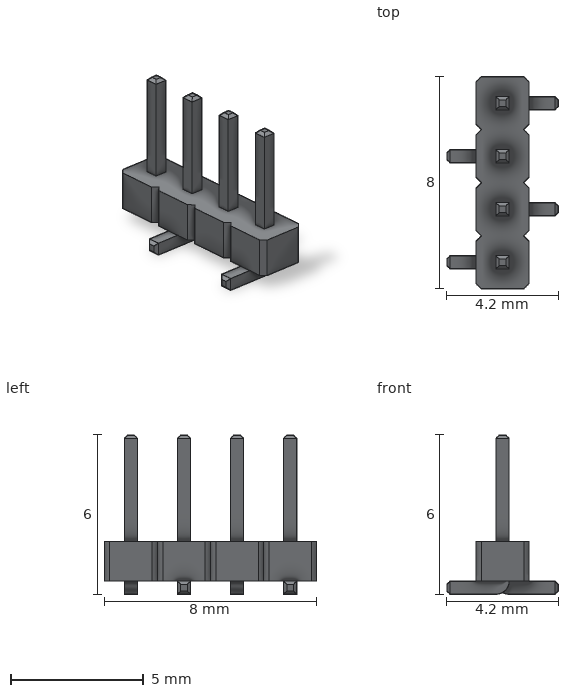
import cadquery as cq

pin_count = 4
pitch = 2.0

body_width = 2.0
body_height = 1.5
body_corner = 0.2

pin_size = 0.5
pin_top = 6.0
foot_reach = 2.1
tip_chamfer = 0.125
bend_radius = pin_size

half_pin = pin_size / 2
body_bottom = pin_size


def pin_position(index):
    return (index - (pin_count - 1) / 2) * pitch


def make_body_segment(y):
    """One pitch of the insulator, with its four upright edges chamfered."""
    return (
        cq.Workplane("XY", origin=(0, y, body_bottom))
        .rect(body_width, pitch)
        .extrude(body_height)
        .edges("|Z")
        .chamfer(body_corner)
    )


def make_pin(y, foot_side):
    """Upright pin bent into a flat foot; foot_side is +1 for +X, -1 for -X."""
    heel_x = -foot_side * half_pin
    post_face_x = foot_side * half_pin
    foot_end_x = foot_side * foot_reach
    bend_center_x = heel_x + foot_side * bend_radius
    diagonal = bend_radius * 0.5**0.5
    bend_middle = (bend_center_x - foot_side * diagonal, bend_radius - diagonal)

    pin = (
        cq.Workplane("XZ", origin=(0, y, 0))
        .moveTo(heel_x, pin_top)
        .lineTo(heel_x, bend_radius)
        .threePointArc(bend_middle, (bend_center_x, 0))
        .lineTo(foot_end_x, 0)
        .lineTo(foot_end_x, pin_size)
        .lineTo(post_face_x, pin_size)
        .lineTo(post_face_x, pin_top)
        .close()
        .extrude(half_pin, both=True)
    )
    foot_end = ">X" if foot_side > 0 else "<X"
    return pin.faces(">Z").chamfer(tip_chamfer).faces(foot_end).chamfer(tip_chamfer)


result = make_body_segment(pin_position(0))
for index in range(1, pin_count):
    result = result.union(make_body_segment(pin_position(index)))

for index in range(pin_count):
    side = -1 if index % 2 == 0 else 1
    result = result.union(make_pin(pin_position(index), side))